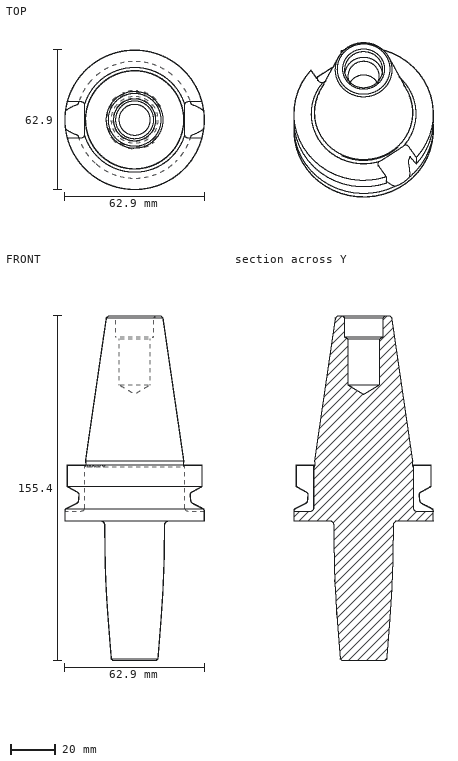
import cadquery as cq
import math

total_height = 155.4

flange_radius = 31.47
flange_bottom = 63.0
flange_top = 88.1
groove_radius = 26.4
groove_lower_rim = 68.4
groove_upper_rim = 78.5
groove_wall_angle = 30.0
groove_fillet = 1.1

gauge_radius = 22.2
gauge_height = 90.0
taper_ratio = 7 / 24
taper_chamfer = 1.0
neck_radius = 22.0
neck_chamfer_height = 0.8
relief_arc_radius = 0.8

nose_radius = 13.5
nose_root_fillet = 1.9
nose_straight_end = 58.0
nose_cone_top = 18.6
nose_cone_angle = 4.5
nose_chamfer = 0.8

bore_radius = 8.5
bore_depth = 9.5
bore_chamfer = 1.0
ledge_drop = 1.0
drill_radius = 7.0
drill_depth = 31.1
drill_tip_angle = 118.0

slot_width = 16.3
slot_floor = 22.5
slot_arc_height = 75.5
slot_floor_fillet = 1.5


def tan(degrees):
    return math.tan(math.radians(degrees))


def make_body():
    """Revolve the nose, flange and taper as one solid."""
    bend_height = nose_straight_end - nose_cone_top
    cone_top_radius = nose_radius - bend_height * tan(nose_cone_angle / 2)
    tip_radius = cone_top_radius - nose_cone_top * tan(nose_cone_angle)
    chamfer_radius = tip_radius + nose_chamfer * tan(nose_cone_angle)
    groove_wall_rise = (flange_radius - groove_radius) * tan(groove_wall_angle)
    taper_end = total_height - taper_chamfer
    taper_end_radius = gauge_radius - (taper_end - gauge_height) * taper_ratio / 2
    root_height = flange_bottom - nose_root_fillet

    profile = (
        cq.Workplane("XZ")
        .lineTo(tip_radius - nose_chamfer, 0)
        .lineTo(chamfer_radius, nose_chamfer)
        .lineTo(cone_top_radius, nose_cone_top)
        .tangentArcPoint((nose_radius, nose_straight_end), relative=False)
        .lineTo(nose_radius, root_height)
        .radiusArc((nose_radius + nose_root_fillet, flange_bottom), nose_root_fillet)
        .lineTo(flange_radius, flange_bottom)
        .lineTo(flange_radius, groove_lower_rim)
        .lineTo(groove_radius, groove_lower_rim + groove_wall_rise)
        .lineTo(groove_radius, groove_upper_rim - groove_wall_rise)
        .lineTo(flange_radius, groove_upper_rim)
        .lineTo(flange_radius, flange_top)
        .lineTo(neck_radius + 2 * relief_arc_radius, flange_top)
        .threePointArc(
            (neck_radius + relief_arc_radius, flange_top - relief_arc_radius),
            (neck_radius, flange_top),
        )
        .lineTo(neck_radius, gauge_height - neck_chamfer_height)
        .lineTo(gauge_radius, gauge_height)
        .lineTo(taper_end_radius, taper_end)
        .lineTo(taper_end_radius - taper_chamfer, total_height)
        .lineTo(0, total_height)
        .close()
    )
    body = profile.revolve(360, (0, 0, 0), (0, 1, 0))
    groove_corners = cq.selectors.BoxSelector(
        (-flange_radius, -flange_radius, groove_lower_rim + groove_wall_rise / 2),
        (flange_radius, flange_radius, groove_upper_rim - groove_wall_rise / 2),
    )
    return body.edges(groove_corners).edges("%CIRCLE").fillet(groove_fillet)


def make_bore():
    """Chamfered counterbore followed by a drilled hole with a conical end."""
    ledge = total_height - bore_depth
    drill_end = total_height - drill_depth
    tip_depth = drill_radius / tan(drill_tip_angle / 2)
    return (
        cq.Workplane("XZ")
        .moveTo(0, total_height)
        .lineTo(bore_radius + bore_chamfer, total_height)
        .lineTo(bore_radius, total_height - bore_chamfer)
        .lineTo(bore_radius, ledge)
        .lineTo(drill_radius, ledge - ledge_drop)
        .lineTo(drill_radius, drill_end)
        .lineTo(0, drill_end - tip_depth)
        .close()
        .revolve(360, (0, 0, 0), (0, 1, 0))
    )


def make_slot_cutter(side):
    """U-shaped cutter with a rounded floor edge; side is +1 or -1 along X."""
    half_width = slot_width / 2
    return (
        cq.Workplane("YZ", origin=(side * slot_floor, 0, 0))
        .moveTo(-half_width, total_height)
        .lineTo(-half_width, slot_arc_height)
        .threePointArc((0, slot_arc_height - half_width), (half_width, slot_arc_height))
        .lineTo(half_width, total_height)
        .close()
        .extrude(side * flange_radius)
        .faces("<X" if side > 0 else ">X")
        .edges("not >Z")
        .fillet(slot_floor_fillet)
    )


result = make_body().cut(make_bore())
for side in (1, -1):
    result = result.cut(make_slot_cutter(side))